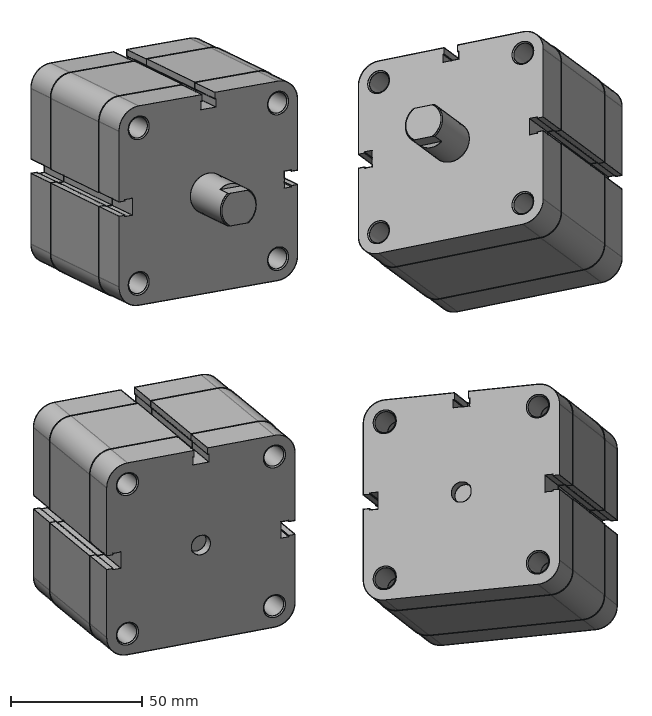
import cadquery as cq
import math


total_length = 87.5
body_length = 65.0
cover_length = 14.7
barrel_length = body_length - 2 * cover_length
barrel_side = 80.0
cover_setback = 0.22

hole_pitch = 62.0
hole_diameter = 8.3
hole_chamfer = 0.5
barrel_corner_radius = (barrel_side - hole_pitch) / 2

slot_mouth_width = 5.5
cover_mouth_clearance = 0.1
slot_mouth_depth = 2.9
slot_width = 6.3
slot_depth = 5.95
slot_angles = (-90, 0, 90)

centre_hole_diameter = 8.05
centre_hole_depth = 4.0

rod_diameter = 16.0
rod_length = total_length - body_length
rod_chamfer = 0.4
across_flats = 13.0
flat_length = 6.1
flat_end_angle = 15

barrel_start = cover_length
front_cover_start = cover_length + barrel_length


def yz_plane(x):
    """Plane across the X axis, with Y and Z as its local axes."""
    return cq.Workplane("YZ", origin=(x, 0, 0))


def slot_cutter(x_start, length, setback, mouth_clearance):
    """T-slot for the +Z side; a setback makes the slot wider and deeper."""
    half_mouth = slot_mouth_width / 2 + mouth_clearance
    half_slot = slot_width / 2 + setback
    surface = barrel_side / 2
    shoulder = surface - slot_mouth_depth
    floor = surface - slot_depth - setback
    outline = [
        (-half_mouth, surface),
        (-half_mouth, shoulder),
        (-half_slot, shoulder),
        (-half_slot, floor),
        (half_slot, floor),
        (half_slot, shoulder),
        (half_mouth, shoulder),
        (half_mouth, surface),
    ]
    return yz_plane(x_start).polyline(outline).close().extrude(length)


def make_section(x_start, length, setback=0, mouth_clearance=0):
    """Rounded square block with corner holes and three T-slots."""
    side = barrel_side - 2 * setback
    section = (
        yz_plane(x_start)
        .rect(side, side)
        .extrude(length)
        .edges("|X")
        .fillet(barrel_corner_radius - setback)
    )
    holes = (
        yz_plane(x_start)
        .rect(hole_pitch, hole_pitch, forConstruction=True)
        .vertices()
        .circle(hole_diameter / 2)
        .extrude(length)
    )
    section = section.cut(holes)
    slot = slot_cutter(x_start, length, setback, mouth_clearance)
    for angle in slot_angles:
        section = section.cut(slot.rotate((0, 0, 0), (1, 0, 0), angle))
    return section


def make_cover(x_start, outer_face):
    """End cover, with its mounting holes chamfered on the outer face."""
    cover = make_section(x_start, cover_length, cover_setback, cover_mouth_clearance)
    hole_rims = cover.faces(outer_face).edges("%CIRCLE").edges(cq.selectors.RadiusNthSelector(0))
    return hole_rims.chamfer(hole_chamfer)


def make_rear_cover():
    """Cover at the -X end, with a blind hole in the middle."""
    centre_hole = yz_plane(0).circle(centre_hole_diameter / 2).extrude(centre_hole_depth)
    return make_cover(0, "<X").cut(centre_hole)


def make_front_cover():
    """Cover at the rod end."""
    return make_cover(front_cover_start, ">X")


def make_barrel():
    """Middle section, slightly larger than the covers."""
    return make_section(barrel_start, barrel_length)


def make_rod():
    """Piston rod with a chamfered tip and two wrench flats, facing +Z and -Z."""
    rod = yz_plane(body_length).circle(rod_diameter / 2).extrude(rod_length)
    rod = rod.faces(">X").chamfer(rod_chamfer)

    radius = rod_diameter / 2
    half_flats = across_flats / 2
    flat_start = total_length - flat_length
    wall_run = (radius - half_flats) * math.tan(math.radians(flat_end_angle))
    flat_cutter = (
        cq.Workplane("XZ")
        .moveTo(flat_start, half_flats)
        .lineTo(total_length, half_flats)
        .lineTo(total_length, radius)
        .lineTo(flat_start - wall_run, radius)
        .close()
        .extrude(radius, both=True)
    )
    return rod.cut(flat_cutter).cut(flat_cutter.mirror("XY"))


rear_cover = make_rear_cover()
barrel = make_barrel()
front_cover = make_front_cover()
rod = make_rod()

result = cq.Compound.makeCompound(
    [rear_cover.val(), barrel.val(), front_cover.val(), rod.val()]
)